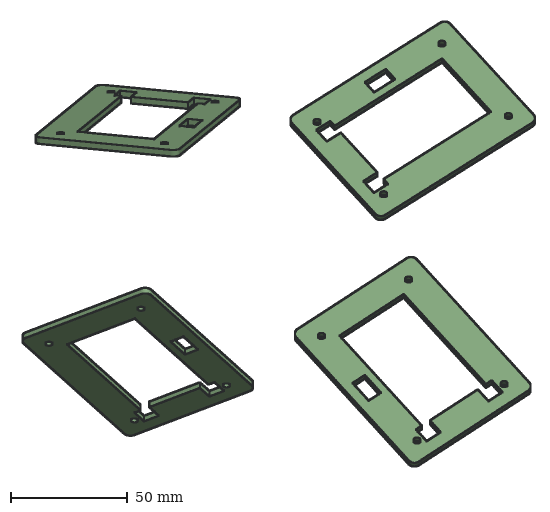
import cadquery as cq

width = 65.0
length = 85.0
thickness = 3.0
corner_radius = 3.1

hole_diameter = 3.0
hole_spacing_x = 47.0
hole_spacing_y = 67.0

window_width = 34.5
window_length = 57.6

notch_size = 7.5
notch_offset_x = 16.7

slot_width = 6.55
slot_length = 11.2
slot_x = 24.2
slot_y = -0.8


def through_cutter(size_x, size_y, x, y):
    """Rectangular block through the full plate thickness, centred at (x, y)."""
    return cq.Workplane("XY").center(x, y).rect(size_x, size_y).extrude(thickness)


plate = (
    cq.Workplane("XY")
    .rect(width, length)
    .extrude(thickness)
    .edges("|Z")
    .fillet(corner_radius)
)

mounting_holes = (
    cq.Workplane("XY")
    .rect(hole_spacing_x, hole_spacing_y, forConstruction=True)
    .vertices()
    .circle(hole_diameter / 2)
    .extrude(thickness)
)

notch_y = window_length / 2 + notch_size / 2
window = through_cutter(window_width, window_length, 0, 0)
for side in (-1, 1):
    window = window.union(through_cutter(notch_size, notch_size, side * notch_offset_x, notch_y))

slot = through_cutter(slot_width, slot_length, slot_x, slot_y)

result = plate.cut(mounting_holes).cut(window).cut(slot)